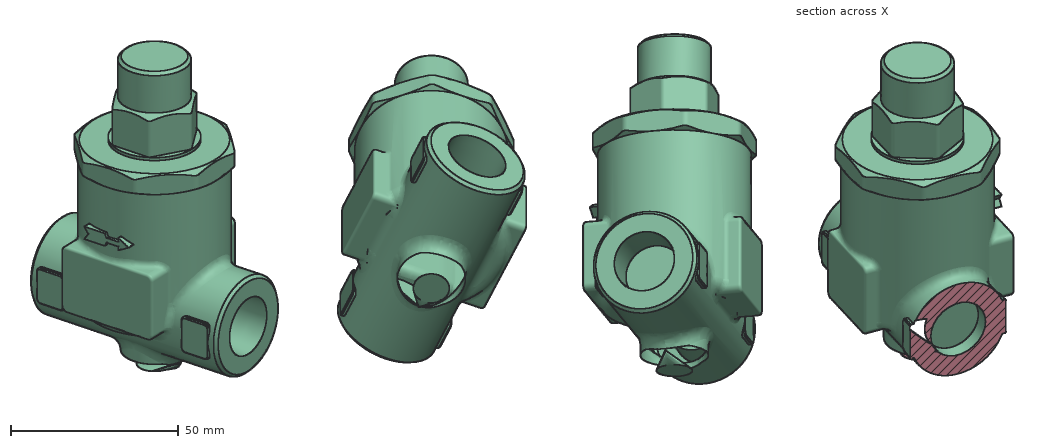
import cadquery as cq
import math


pipe_length = 70.0
pipe_radius = 16.0
pipe_chamfer = 1.0
port_mouth_radius = 9.3
port_end_radius = 9.0
port_depth = 12.5

pad_length = 10.4
pad_height = 12.0
pad_center_x = 27.0
pad_face_y = 16.1
pad_corner_radius = 1.6
pad_edge_chamfer = 0.4

body_radius = 23.0
body_bottom_z = -4.0
body_bottom_round = 4.0
body_pipe_fillet = 3.0

boss_face_y = 24.0
boss_corner_radius = 2.0
boss_edge_round = 0.9
boss_root_fillet = 2.0
front_boss_width = 34.0
front_boss_bottom_z = -1.0
front_boss_top_z = 21.0
back_boss_width = 25.2
back_boss_bottom_z = -4.0
back_boss_top_z = 20.0

dome_radius = 10.2
dome_bottom_z = -23.0
dome_round = 4.8
dome_pipe_fillet = 4.5

cover_bottom_z = 45.2
cover_top_z = 52.0
cover_sides = 8
cover_across_flats = 2 * body_radius
cover_corner_radius = 2.5
cover_top_radius = 22.5
collar_radius = 13.9
collar_top_z = 53.0
nut_top_z = 66.5
nut_sides = 6
nut_across_flats = 24.0
nut_corner_radius = 1.5
stem_radius = 11.0
stem_top_z = 80.0
stem_chamfer = 1.0
wrench_chamfer_angle = 30.0

arrow_z = 28.0
arrow_half_length = 8.3
arrow_half_height = 2.1
arrow_shaft_half_height = 0.8
arrow_notch_depth = 1.5
arrow_head_length = 3.9
arrow_tail_length = 7.7
arrow_tail_taper = 0.6

match_tolerance = 1e-4


def upright_cylinder(radius, bottom_z, top_z):
    return cq.Workplane("XY").workplane(offset=bottom_z).circle(radius).extrude(top_z - bottom_z)


def wrench_prism(sides, across_flats, corner_radius, bottom_z, top_z):
    """Regular prism with rounded corners and one flat facing -Y."""
    corner_diameter = across_flats / math.cos(math.pi / sides)
    turn = 180.0 / sides if sides % 4 == 0 else 0.0
    prism = cq.Workplane("XY").polygon(sides, corner_diameter).extrude(top_z - bottom_z)
    prism = prism.edges("|Z").fillet(corner_radius)
    return prism.rotate((0, 0, 0), (0, 0, 1), turn).translate((0, 0, bottom_z))


def wrench_cone(edge_radius, edge_z, far_z):
    """Envelope that bevels the corners of a prism, from edge_z towards far_z."""
    reach = edge_radius * 2
    side = math.copysign(1.0, far_z - edge_z)
    bevel_z = edge_z + side * (reach - edge_radius) * math.tan(math.radians(wrench_chamfer_angle))
    end_z = bevel_z + (far_z - edge_z)
    outline = [(0, edge_z), (edge_radius, edge_z), (reach, bevel_z), (reach, end_z), (0, end_z)]
    return cq.Workplane("XZ").polyline(outline).close().revolve(360, (0, 0), (0, 1))


def make_pipe():
    pipe = cq.Workplane("YZ").circle(pipe_radius).extrude(pipe_length / 2, both=True)
    return pipe.faces("<X or >X").chamfer(pipe_chamfer)


def make_body():
    body = upright_cylinder(body_radius, body_bottom_z, cover_bottom_z)
    return body.faces("<Z").edges().fillet(body_bottom_round)


def make_boss(side, width, bottom_z, top_z):
    """Rectangular boss reaching from the body axis to its face; side is -1 front, +1 back."""
    boss = cq.Workplane("XY").box(width, boss_face_y, top_z - bottom_z)
    boss = boss.edges("|Y").fillet(boss_corner_radius)
    boss = boss.faces(">Y" if side > 0 else "<Y").edges().fillet(boss_edge_round)
    return boss.translate((0, side * boss_face_y / 2, (bottom_z + top_z) / 2))


def make_dome():
    dome = upright_cylinder(dome_radius, dome_bottom_z, 0)
    return dome.faces("<Z").edges().fillet(dome_round)


def make_pads():
    """Flat pads through the pipe, one pair at each end."""
    pads = cq.Workplane("XY")
    for center_x in (-pad_center_x, pad_center_x):
        pad = cq.Workplane("XY").box(pad_length, 2 * pad_face_y, pad_height)
        pad = pad.edges("|Y").fillet(pad_corner_radius)
        pad = pad.faces("<Y or >Y").chamfer(pad_edge_chamfer)
        pads = pads.add(pad.translate((center_x, 0, 0)))
    return pads.combine()


def make_ports():
    """Slightly tapered blind port in each pipe end."""
    mouth_x = pipe_length / 2
    end_x = mouth_x - port_depth
    outline = [(mouth_x, 0), (mouth_x, port_mouth_radius), (end_x, port_end_radius), (end_x, 0)]
    port = cq.Workplane("XY").polyline(outline).close().revolve(360, (0, 0), (1, 0))
    return port.union(port.mirror("YZ"))


def make_cover():
    cover = wrench_prism(cover_sides, cover_across_flats, cover_corner_radius, cover_bottom_z, cover_top_z)
    cover = cover.intersect(wrench_cone(cover_top_radius, cover_top_z, cover_bottom_z))
    return cover.intersect(wrench_cone(body_radius, cover_bottom_z, cover_top_z))


def make_nut_and_stem():
    collar = upright_cylinder(collar_radius, cover_top_z, collar_top_z)
    nut = wrench_prism(nut_sides, nut_across_flats, nut_corner_radius, collar_top_z, nut_top_z)
    nut = nut.intersect(wrench_cone(stem_radius, nut_top_z, collar_top_z))
    stem = upright_cylinder(stem_radius, collar_top_z, stem_top_z).faces(">Z").chamfer(stem_chamfer)
    return collar.union(nut).union(stem)


def make_arrow():
    """Arrow pointing to +X, its face level with the boss faces."""
    tail_x = -arrow_half_length
    tail_end_x = tail_x + arrow_tail_length
    shaft_start_x = tail_end_x + arrow_tail_taper
    head_x = arrow_half_length - arrow_head_length
    upper_half = [
        (tail_x, arrow_half_height),
        (tail_end_x, arrow_half_height),
        (shaft_start_x, arrow_shaft_half_height),
        (head_x, arrow_shaft_half_height),
        (head_x, arrow_half_height),
    ]
    lower_half = [(x, -z) for x, z in reversed(upper_half)]
    notch = (tail_x + arrow_notch_depth, 0)
    outline = upper_half + [(arrow_half_length, 0)] + lower_half + [notch]
    arrow = cq.Workplane("XZ").polyline(outline).close().extrude(boss_face_y)
    return arrow.translate((0, 0, arrow_z))


def seam_edges(joined, first, second):
    """Edges of a union that lie on no edge of either part: the seams where the parts meet."""
    part_edges = first.edges().vals() + second.edges().vals()

    def is_seam(edge):
        middle = cq.Vertex.makeVertex(*edge.positionAt(0.5).toTuple())
        return all(part_edge.distance(middle) > match_tolerance for part_edge in part_edges)

    return [edge for edge in joined.edges().vals() if is_seam(edge)]


def join_with_fillet(first, second, radius):
    joined = first.union(second)
    return joined.newObject(seam_edges(joined, first, second)).fillet(radius)


front_boss = make_boss(-1, front_boss_width, front_boss_bottom_z, front_boss_top_z)
back_boss = make_boss(1, back_boss_width, back_boss_bottom_z, back_boss_top_z)

housing = join_with_fillet(make_pipe(), make_dome(), dome_pipe_fillet)
housing = join_with_fillet(housing, make_body(), body_pipe_fillet)
housing = join_with_fillet(housing, front_boss, boss_root_fillet)
housing = join_with_fillet(housing, back_boss, boss_root_fillet)

result = housing.union(make_pads()).union(make_arrow())
result = result.union(make_cover()).union(make_nut_and_stem()).cut(make_ports())